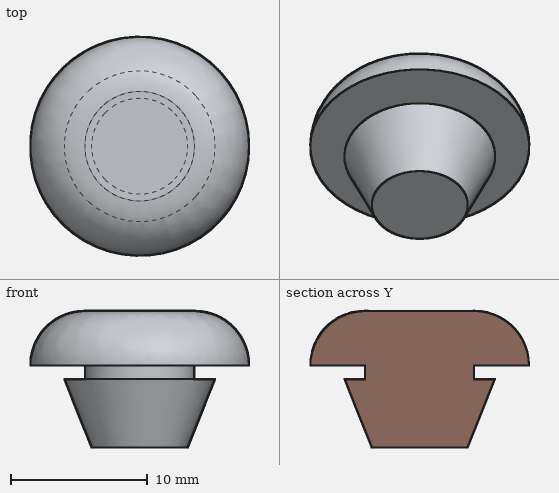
import cadquery as cq

head_diameter = 16.0
total_height = 10.0

head_radius = head_diameter / 2
head_height = head_diameter / 4
flat_radius = head_radius - head_height

neck_radius = flat_radius
neck_height = 1.0

plug_top_radius = 11.0 / 2
plug_bottom_radius = 7.0 / 2
plug_height = total_height - head_height - neck_height

neck_bottom = plug_height
head_bottom = plug_height + neck_height

profile = (
    cq.Workplane("XZ")
    .lineTo(plug_bottom_radius, 0)
    .lineTo(plug_top_radius, neck_bottom)
    .lineTo(neck_radius, neck_bottom)
    .lineTo(neck_radius, head_bottom)
    .lineTo(head_radius, head_bottom)
    .radiusArc((flat_radius, total_height), -head_height)
    .lineTo(0, total_height)
    .close()
)

result = profile.revolve(360, (0, 0, 0), (0, 1, 0))